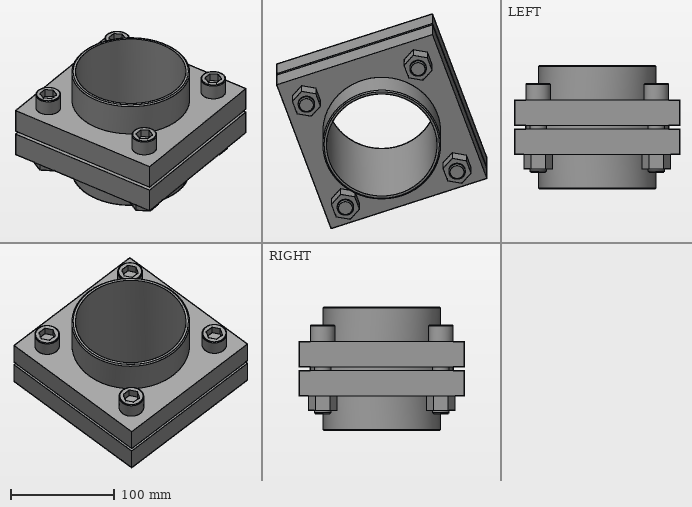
import cadquery as cq
import math

flange_side = 160.0
flange_thickness = 24.5
flange_gap = 3.5

pipe_length = 120.0
pipe_diameter = 114.2
bore_diameter = 107.0
pipe_chamfer = 1.3

gasket_diameter = 139.0

bolt_spacing = 114.5
bolt_diameter = 16.0
bolt_protrusion = 3.2
bolt_end_chamfer = 1.3
head_diameter = 24.0
head_height = 16.0
head_chamfer = 0.8
socket_width = 14.0
socket_depth = 8.0
nut_width = 24.0
nut_height = 14.2

flange_outer_z = flange_gap / 2 + flange_thickness
head_top_z = flange_outer_z + head_height
nut_bottom_z = -flange_outer_z - nut_height
bolt_end_z = nut_bottom_z - bolt_protrusion


def cylinder(diameter, bottom_z, top_z):
    """Upright cylinder on the Z axis."""
    return cq.Workplane("XY").workplane(offset=bottom_z).circle(diameter / 2).extrude(top_z - bottom_z)


def hexagon(width_across_flats, bottom_z, top_z):
    """Upright hexagonal prism on the Z axis with two corners along Y."""
    width_across_corners = width_across_flats / math.cos(math.pi / 6)
    prism = cq.Workplane("XY").workplane(offset=bottom_z).polygon(6, width_across_corners)
    return prism.extrude(top_z - bottom_z).rotate((0, 0, 0), (0, 0, 1), 90)


def flange(bottom_z):
    """Square plate with its underside at the given height."""
    plate = cq.Workplane("XY").workplane(offset=bottom_z).rect(flange_side, flange_side)
    return plate.extrude(flange_thickness)


def pipe_body():
    """Solid pipe with chamfered outer ends, before boring."""
    body = cylinder(pipe_diameter, -pipe_length / 2, pipe_length / 2)
    return body.faces("<Z or >Z").edges().chamfer(pipe_chamfer)


def bolt_with_nut():
    """Bolt on the Z axis: socket head on top, nut and shank end below."""
    head = cylinder(head_diameter, flange_outer_z, head_top_z).faces(">Z").edges().chamfer(head_chamfer)
    head = head.cut(hexagon(socket_width, head_top_z - socket_depth, head_top_z))
    shank = cylinder(bolt_diameter, bolt_end_z, flange_outer_z).faces("<Z").edges().chamfer(bolt_end_chamfer)
    nut = hexagon(nut_width, nut_bottom_z, -flange_outer_z)
    return shank.union(head).union(nut)


result = flange(flange_gap / 2).union(flange(-flange_outer_z))
result = result.union(cylinder(gasket_diameter, -flange_gap / 2, flange_gap / 2))
result = result.union(pipe_body())

bolt = bolt_with_nut()
for x_side in (-1, 1):
    for y_side in (-1, 1):
        result = result.union(bolt.translate((x_side * bolt_spacing / 2, y_side * bolt_spacing / 2, 0)))

result = result.cut(cylinder(bore_diameter, -pipe_length / 2, pipe_length / 2))